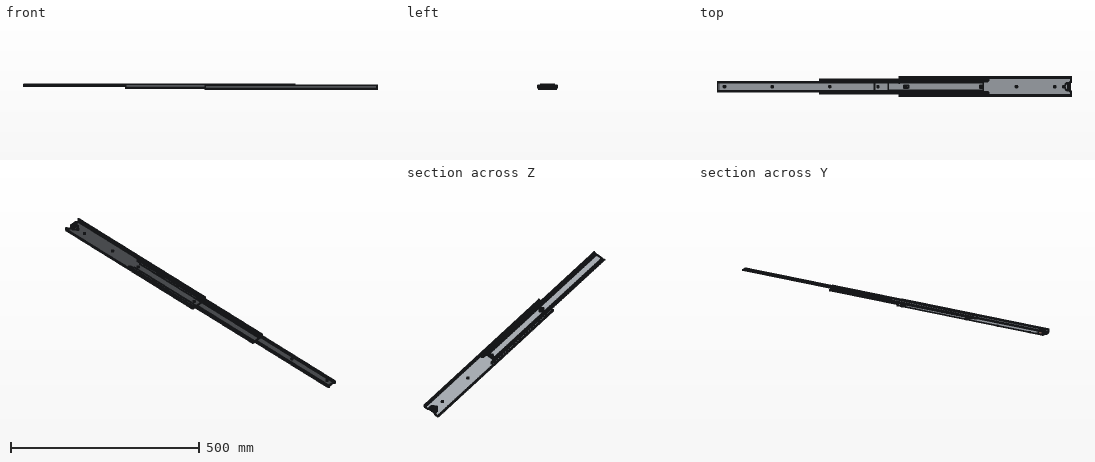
import cadquery as cq

SLIDE_LENGTH = 939.0
SHEET = 1.4
FOOT_HEIGHT = 2.35
LIP_DROP = 2.0
SCREW_HOLE_DIAMETER = 5.0
CUT_DEPTH = 19.0
END_CLEARANCE = 9.0

OUTER_START = 482.0
OUTER_END = SLIDE_LENGTH
OUTER_HALF_WIDTH = 25.8
OUTER_FOOT_Y = 23.5
OUTER_LIP_Y = 23.5
OUTER_HEIGHT = 10.8
OUTER_BULGE_Z = 7.0
OUTER_HOLES = [499.0, 701.0, 794.0, 895.0, 919.5]
END_RECESS_DEPTH = 3.0
END_RECESS_HALF_WIDTH = 12.0

STOP_FRONT = 922.0
STOP_HALF_WIDTH = 10.0
STOP_ROUND_LENGTH = 6.0
STOP_POCKET_START = 930.0
STOP_POCKET_LENGTH = 5.0
STOP_POCKET_WIDTH = 6.0
STOP_POCKET_Y = 5.0

MIDDLE_START = 270.5
MIDDLE_END = 720.0
MIDDLE_FLOOR_END = 705.0
MIDDLE_BOTTOM = 2.35
MIDDLE_TOP = 13.0
MIDDLE_HALF_WIDTH = 19.3
MIDDLE_FOOT_Y = 16.4
MIDDLE_LIP_Y = 15.0
MIDDLE_LIP_INNER_Y = 13.6
MIDDLE_BULGE_Z = 8.0
MIDDLE_CORNER = 4.0
PANEL_HALF_WIDTH = 9.9
PANEL_RISE = 1.0
ACCESS_SLOT_X = 501.0
ACCESS_SLOT_LENGTH = 14.0
ACCESS_SLOT_WIDTH = 8.0
REAR_HOLE_X = 700.0
REAR_HOLE_DIAMETER = 8.0

INNER_LENGTH = 454.0
INNER_HALF_WIDTH = 13.0
INNER_BOTTOM = 7.0
INNER_EDGE_BEVEL_WIDTH = 1.0
INNER_EDGE_BEVEL_HEIGHT = 3.0
INNER_TOP = MIDDLE_TOP
INNER_END_BEVEL_LENGTH = 4.0
INNER_END_BEVEL_DROP = 1.0
INNER_TONGUE_LENGTH = 37.0
INNER_TONGUE_DROP = 3.0
INNER_HOLES = [18.0, 145.0, 298.0, 425.0]


def box(x0, x1, y0, y1, z0, z1):
    """Block between the given coordinates."""
    return cq.Workplane("XY").box(x1 - x0, y1 - y0, z1 - z0, centered=False).translate((x0, y0, z0))


def hole_cutters(positions, diameter):
    """Vertical cylinders on the centre line of a rail."""
    points = [(x, 0) for x in positions]
    return cq.Workplane("XY").pushPoints(points).circle(diameter / 2).extrude(CUT_DEPTH)


def mirrored(half):
    """One half of a rail joined to its mirror image across the XZ plane."""
    return half.union(half.mirror("XZ")).clean()


def side_section(start, foot_y, bottom, bulge, crest, lip):
    """Profile of half a channel: flat floor from Y = 0 and a side wall curved outwards."""
    bulge_y, bulge_z = bulge
    return (
        cq.Workplane("YZ", origin=(start, 0, 0))
        .moveTo(0, bottom)
        .lineTo(foot_y, bottom)
        .lineTo(foot_y, bottom + FOOT_HEIGHT)
        .threePointArc(bulge, crest)
        .lineTo(*lip)
        .threePointArc((bulge_y - SHEET, bulge_z), (foot_y - SHEET, bottom + FOOT_HEIGHT))
        .lineTo(foot_y - SHEET, bottom + SHEET)
        .lineTo(0, bottom + SHEET)
        .close()
    )


def end_stop():
    stop_end = OUTER_END - END_RECESS_DEPTH
    side_start = STOP_FRONT + STOP_ROUND_LENGTH
    stop = (
        cq.Workplane("XY")
        .moveTo(stop_end, -STOP_HALF_WIDTH)
        .lineTo(side_start, -STOP_HALF_WIDTH)
        .threePointArc((STOP_FRONT, 0), (side_start, STOP_HALF_WIDTH))
        .lineTo(stop_end, STOP_HALF_WIDTH)
        .close()
        .extrude(OUTER_HEIGHT)
    )
    pockets = (
        cq.Workplane("XY", origin=(STOP_POCKET_START + STOP_POCKET_LENGTH / 2, 0, SHEET))
        .pushPoints([(0, -STOP_POCKET_Y), (0, STOP_POCKET_Y)])
        .rect(STOP_POCKET_LENGTH, STOP_POCKET_WIDTH)
        .extrude(CUT_DEPTH)
    )
    return stop.cut(pockets)


def make_outer_rail():
    half = side_section(
        OUTER_START,
        OUTER_FOOT_Y,
        0,
        (OUTER_HALF_WIDTH, OUTER_BULGE_Z),
        (OUTER_LIP_Y, OUTER_HEIGHT),
        (OUTER_LIP_Y - SHEET, OUTER_HEIGHT - LIP_DROP),
    ).extrude(OUTER_END - OUTER_START)
    end_recess = box(
        OUTER_END - END_RECESS_DEPTH, OUTER_END + END_CLEARANCE,
        -END_RECESS_HALF_WIDTH, END_RECESS_HALF_WIDTH,
        0, CUT_DEPTH,
    )
    rail = mirrored(half).cut(end_recess)
    return rail.cut(hole_cutters(OUTER_HOLES, SCREW_HOLE_DIAMETER)).union(end_stop())


def make_middle_rail():
    half = side_section(
        MIDDLE_START,
        MIDDLE_FOOT_Y,
        MIDDLE_BOTTOM,
        (MIDDLE_HALF_WIDTH, MIDDLE_BULGE_Z),
        (MIDDLE_LIP_Y, MIDDLE_TOP),
        (MIDDLE_LIP_INNER_Y, MIDDLE_TOP - LIP_DROP),
    ).extrude(MIDDLE_END - MIDDLE_START)

    panel_bottom = MIDDLE_BOTTOM + PANEL_RISE
    panel_span = (MIDDLE_START, MIDDLE_FLOOR_END, 0, PANEL_HALF_WIDTH)
    half = half.union(box(*panel_span, panel_bottom, panel_bottom + SHEET))
    half = half.cut(box(*panel_span, 0, panel_bottom))

    half = half.cut(
        box(MIDDLE_FLOOR_END, MIDDLE_END + END_CLEARANCE, 0, MIDDLE_LIP_INNER_Y, 0, CUT_DEPTH)
    )
    corner = (
        cq.Workplane("XY")
        .moveTo(MIDDLE_END, MIDDLE_LIP_INNER_Y)
        .lineTo(MIDDLE_END, MIDDLE_LIP_INNER_Y + MIDDLE_CORNER)
        .lineTo(MIDDLE_END - MIDDLE_CORNER, MIDDLE_LIP_INNER_Y)
        .close()
        .extrude(CUT_DEPTH)
    )
    rail = mirrored(half.cut(corner))

    access_slot = (
        cq.Workplane("XY", origin=(ACCESS_SLOT_X, 0, 0))
        .slot2D(ACCESS_SLOT_LENGTH, ACCESS_SLOT_WIDTH)
        .extrude(CUT_DEPTH)
    )
    return rail.cut(access_slot).cut(hole_cutters([REAR_HOLE_X], REAR_HOLE_DIAMETER))


def inner_cross_section():
    """Solid bar with the outer cross-section of the inner rail: long top edges bevelled."""
    shoulder_z = INNER_TOP - INNER_EDGE_BEVEL_HEIGHT
    top_half_width = INNER_HALF_WIDTH - INNER_EDGE_BEVEL_WIDTH
    half = (
        cq.Workplane("YZ")
        .moveTo(0, INNER_BOTTOM)
        .lineTo(INNER_HALF_WIDTH, INNER_BOTTOM)
        .lineTo(INNER_HALF_WIDTH, shoulder_z)
        .lineTo(top_half_width, INNER_TOP)
        .lineTo(0, INNER_TOP)
        .close()
        .extrude(INNER_LENGTH)
    )
    return mirrored(half)


def inner_side_profile(half_width, bottom, inset):
    """Bar with the side outline of the inner rail: bevelled front end and lowered rear tongue.

    The top lies `inset` below the top of the rail.
    """
    top = INNER_TOP - inset
    tongue_start = INNER_LENGTH - INNER_TONGUE_LENGTH - inset
    tongue_top = top - INNER_TONGUE_DROP
    return (
        cq.Workplane("XZ", origin=(0, half_width, 0))
        .moveTo(0, bottom)
        .lineTo(0, top - INNER_END_BEVEL_DROP)
        .lineTo(INNER_END_BEVEL_LENGTH, top)
        .lineTo(tongue_start, top)
        .lineTo(tongue_start, tongue_top)
        .lineTo(INNER_LENGTH, tongue_top)
        .lineTo(INNER_LENGTH, bottom)
        .close()
        .extrude(2 * half_width)
    )


def make_inner_rail():
    inside_half_width = INNER_HALF_WIDTH - INNER_EDGE_BEVEL_WIDTH - SHEET
    outside = inner_side_profile(INNER_HALF_WIDTH, INNER_BOTTOM, 0)
    inside = inner_side_profile(inside_half_width, INNER_BOTTOM, SHEET)
    rail = inner_cross_section().intersect(outside).cut(inside)
    return rail.cut(hole_cutters(INNER_HOLES, SCREW_HOLE_DIAMETER))


outer_rail = make_outer_rail()
middle_rail = make_middle_rail()
inner_rail = make_inner_rail()

result = cq.Compound.makeCompound([outer_rail.val(), middle_rail.val(), inner_rail.val()])